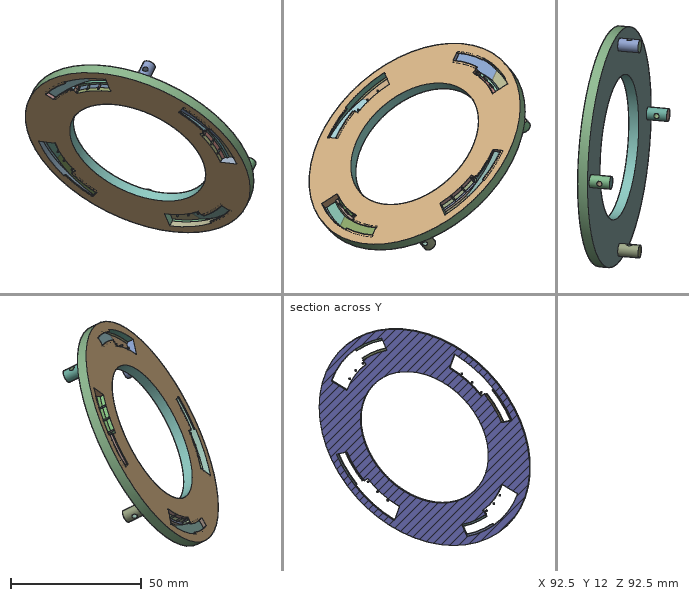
import cadquery as cq

ring_diameter = 92.5
bore_diameter = 55.9
ring_thickness = 4.0
overall_depth = 12.0

pin_count = 4
pin_diameter = 5.0
pin_circle_radius = 41.4
pin_hole_diameter = 2.0
pin_length = overall_depth - ring_thickness

slot_count = 4
slot_end_angle = 64.0
wide_inner = 37.7
wide_outer = 42.8
narrow_width = 3.5
step_angle = 19.0
wide_end_angle = 46.0
narrow_end_depth = 1.5
lip_thickness = 0.5
ramp_length = 20.0
wall_depth = 2.5
floor_bevel = 0.6

pocket_inner_radius = 35.8
pocket_start_angle = 19.8
pocket_depth = wall_depth
pocket_bevel = 0.9

post_diameter = 0.6
post_count = 3
post_radius = pocket_inner_radius + pocket_bevel
first_post_angle = 21.5
post_pitch_angle = 8.1

slot_mid_radius = (wide_inner + wide_outer) / 2
narrow_inner = slot_mid_radius - narrow_width / 2
narrow_outer = slot_mid_radius + narrow_width / 2
floor_depth = wall_depth + floor_bevel
ring_radius = ring_diameter / 2
pocket_wall_depth = pocket_depth - pocket_bevel


def turn(body, angle):
    """Rotate a body about the ring axis, counterclockwise from +X towards +Z."""
    return body.rotate((0, 0, 0), (0, 1, 0), -angle)


def sector(profile, start_angle, end_angle):
    """Sweep a (radius, depth) profile about the ring axis between two angles behind the slot end."""
    swept = cq.Workplane("XY").polyline(profile).close()
    swept = swept.revolve(end_angle - start_angle, (0, 0, 0), (0, 1, 0))
    return turn(swept, -start_angle)


def floor_prism(profile, start_angle):
    """Extrude a (depth, distance) floor profile along the radius at an angle behind the slot end."""
    points = [(depth, -distance) for depth, distance in profile]
    return turn(cq.Workplane("YZ").polyline(points).close().extrude(ring_radius), -start_angle)


def rectangle(inner, outer, depth):
    """Rectangular (radius, depth) profile open at the front face."""
    return [(inner, 0), (outer, 0), (outer, depth), (inner, depth)]


def bayonet_slot():
    narrow_entry = sector(rectangle(narrow_inner, narrow_outer, wall_depth), 0, wide_end_angle)
    wide_entry = sector(rectangle(wide_inner, wide_outer, wall_depth), step_angle, wide_end_angle)
    channel = sector(
        [
            (wide_inner, lip_thickness),
            (wide_outer, lip_thickness),
            (wide_outer, wall_depth),
            (wide_outer - floor_bevel, floor_depth),
            (wide_inner + floor_bevel, floor_depth),
            (wide_inner, wall_depth),
        ],
        0,
        wide_end_angle,
    )
    ramp = floor_prism(
        [
            (0, 0),
            (narrow_end_depth, 0),
            (floor_depth, ramp_length),
            (floor_depth, ring_radius),
            (0, ring_radius),
        ],
        0,
    )
    return narrow_entry.union(wide_entry).union(channel).intersect(ramp)


def pocket():
    pocket_outer = slot_mid_radius
    ring = sector(
        [
            (pocket_inner_radius, 0),
            (pocket_outer, 0),
            (pocket_outer, pocket_depth),
            (pocket_inner_radius + pocket_bevel, pocket_depth),
            (pocket_inner_radius, pocket_wall_depth),
        ],
        pocket_start_angle,
        wide_end_angle,
    )
    end = floor_prism(
        [
            (0, 0),
            (pocket_wall_depth, 0),
            (pocket_depth, pocket_bevel),
            (pocket_depth, ring_radius),
            (0, ring_radius),
        ],
        pocket_start_angle,
    )
    return ring.intersect(end)


def posts():
    post = cq.Workplane("XZ").center(post_radius, 0).circle(post_diameter / 2).extrude(-ring_thickness)
    row = cq.Workplane()
    for i in range(post_count):
        row = row.add(turn(post, -first_post_angle - i * post_pitch_angle))
    return row.combine()


def pin():
    body = cq.Workplane("XZ", origin=(pin_circle_radius, ring_thickness, 0))
    body = body.circle(pin_diameter / 2).extrude(-pin_length)
    hole = cq.Workplane("YZ", origin=(0, ring_thickness + pin_length / 2, 0))
    return body.cut(hole.circle(pin_hole_diameter / 2).extrude(ring_radius))


result = cq.Workplane("XZ").circle(ring_radius).circle(bore_diameter / 2).extrude(-ring_thickness)

recess = bayonet_slot().union(pocket()).cut(posts())
for i in range(slot_count):
    result = result.cut(turn(recess, slot_end_angle + i * 360 / slot_count))

for i in range(pin_count):
    result = result.union(turn(pin(), i * 360 / pin_count))